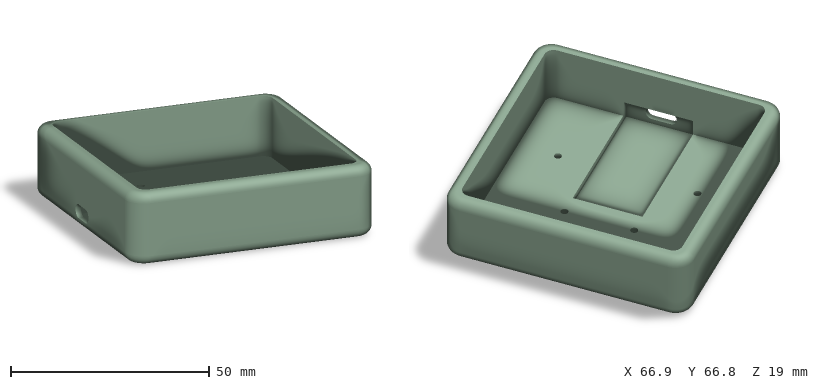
import cadquery as cq

side = 66.85
height = 19.0
corner_radius = 5.0
edge_radius = 2.5

wall = 3.55
floor_thickness = 3.0
cavity_corner_radius = 2.5
cavity_side = side - 2 * wall

recess_width = 19.0
recess_back_y = 3.95
recess_floor_z = 1.0

hole_diameter = 2.0
hole_pitch = 19.0
hole_row_y = hole_pitch / 2

slot_length = 8.5
slot_height = 3.6
slot_center_z = 4.3

thin_wall = 1.5
thin_wall_pocket_height = 2 * (slot_center_z - recess_floor_z)


def make_shell():
    """Rounded square block with its top and bottom rims filleted."""
    block = cq.Workplane("XY").rect(side, side).extrude(height)
    return block.edges("|Z").fillet(corner_radius).faces("<Z or >Z").edges().fillet(edge_radius)


def make_cavity():
    cavity = (
        cq.Workplane("XY", origin=(0, 0, floor_thickness))
        .rect(cavity_side, cavity_side)
        .extrude(height - floor_thickness)
    )
    return cavity.edges("|Z").fillet(cavity_corner_radius)


def make_recess():
    front_y = -cavity_side / 2
    length = recess_back_y - front_y
    return (
        cq.Workplane("XY", origin=(0, front_y + length / 2, recess_floor_z))
        .rect(recess_width, length)
        .extrude(floor_thickness - recess_floor_z)
    )


def make_floor_holes():
    centers = []
    for y, spacing in ((hole_row_y, hole_pitch), (-hole_row_y, 2 * hole_pitch)):
        for direction in (-1, 1):
            centers.append((direction * spacing / 2, y))
    return cq.Workplane("XY").pushPoints(centers).circle(hole_diameter / 2).extrude(floor_thickness)


def make_thin_wall_pocket():
    """Undercut that carries the recess forward into the front wall."""
    return (
        cq.Workplane("XZ", origin=(0, -cavity_side / 2, slot_center_z))
        .rect(recess_width, thin_wall_pocket_height)
        .extrude(wall - thin_wall)
    )


def make_cable_slot():
    """Round-ended slot from the front face into the undercut."""
    return (
        cq.Workplane("XZ", origin=(0, -side / 2 + thin_wall, slot_center_z))
        .slot2D(slot_length, slot_height)
        .extrude(thin_wall)
    )


result = (
    make_shell()
    .cut(make_cavity())
    .cut(make_recess())
    .cut(make_floor_holes())
    .cut(make_thin_wall_pocket())
    .cut(make_cable_slot())
)